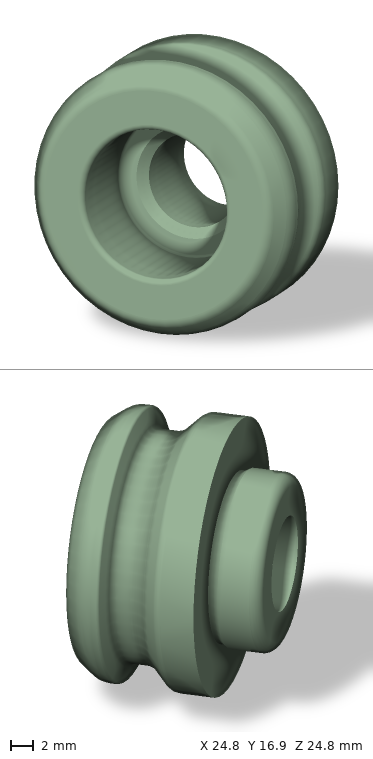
import cadquery as cq
import math

total_length = 16.9
flange_back = 12.1

flange_radius = 24.8 / 2
rim_radius = 24.6 / 2
groove_radius = 20.7 / 2
collar_radius = 16.0 / 2
neck_radius = 15.3 / 2

nose_depth = 2.03
nose_angle = 35.5
nose_fillet = 1
rim_fillet = 2.0
rim_back = 3.4
rim_edge_fillet = 0.25

wall_angle = 19
wall_fillet = 0.5
flank_angle = 45
flank_fillet = 2.0
flank_end = 8.65
flange_fillet = 1

neck_slope = 30
neck_arc_radius = 0.5
collar_start = 13.05
collar_fillet = 1

pocket_radius = 13.5 / 2
pocket_depth = 8.15
pocket_mouth_fillet = 0.5
pocket_floor_fillet = 0.22
countersink_radius = 10.17 / 2
hole_radius = 8.5 / 2
countersink_angle = 45


def add_rounded_corner(path, before, corner, after, radius):
    """Draw a line to the corner and round it with a tangent arc."""
    corner_point = cq.Vector(*corner)
    back = (cq.Vector(*before) - corner_point).normalized()
    ahead = (cq.Vector(*after) - corner_point).normalized()
    half_angle = back.getAngle(ahead) / 2
    setback = radius / math.tan(half_angle)
    crown = radius / math.sin(half_angle) - radius
    start = corner_point + back * setback
    middle = corner_point + (back + ahead).normalized() * crown
    end = corner_point + ahead * setback
    path = path.lineTo(start.x, start.y)
    return path.threePointArc((middle.x, middle.y), (end.x, end.y))


def run(rise, angle):
    """Axial length of a slope that climbs by rise at angle to the axis."""
    return rise / math.tan(math.radians(angle))


def half_section():
    """List the section corners as (radius, axial position, corner fillet)."""
    nose_radius = rim_radius - nose_depth * math.tan(math.radians(nose_angle))
    wall_foot = rim_back + (rim_radius - groove_radius) * math.tan(math.radians(wall_angle))
    flank_foot = flank_end - run(flange_radius - groove_radius, flank_angle)
    countersink_end = pocket_depth + run(countersink_radius - hole_radius, countersink_angle)
    return [
        (pocket_radius, 0, pocket_mouth_fillet),
        (nose_radius, 0, nose_fillet),
        (rim_radius, nose_depth, rim_fillet),
        (rim_radius, rim_back, rim_edge_fillet),
        (groove_radius, wall_foot, wall_fillet),
        (groove_radius, flank_foot, flank_fillet),
        (flange_radius, flank_end, flange_fillet),
        (flange_radius, flange_back, 0),
        (collar_radius, flange_back, 0),
        (collar_radius, total_length, collar_fillet),
        (hole_radius, total_length, 0),
        (hole_radius, countersink_end, 0),
        (countersink_radius, pocket_depth, 0),
        (pocket_radius, pocket_depth, pocket_floor_fillet),
    ]


def turned_body(corners):
    """Revolve the rounded half section about the Y axis."""
    points = [(radius, position) for radius, position, _ in corners]
    fillets = [fillet for _, _, fillet in corners]
    path = cq.Workplane("XY").moveTo(pocket_radius, pocket_depth / 2)
    for index, point in enumerate(points):
        if fillets[index] == 0:
            path = path.lineTo(*point)
            continue
        following = points[(index + 1) % len(points)]
        path = add_rounded_corner(path, points[index - 1], point, following, fillets[index])
    return path.close().revolve(360, (0, 0, 0), (0, 1, 0))


def neck_undercut():
    """Ring removed beside the flange: a cone down from the collar, then a tangent arc."""
    slope = math.radians(neck_slope)
    center_radius = neck_radius + neck_arc_radius
    arc_start_radius = center_radius - neck_arc_radius * math.cos(slope)
    arc_start = collar_start - run(collar_radius - arc_start_radius, neck_slope)
    arc_center = arc_start - neck_arc_radius * math.sin(slope)
    overhang = arc_center - flange_back
    arc_end_radius = center_radius - math.sqrt(neck_arc_radius**2 - overhang**2)
    return (
        cq.Workplane("XY")
        .moveTo(collar_radius, collar_start)
        .lineTo(arc_start_radius, arc_start)
        .threePointArc((neck_radius, arc_center), (arc_end_radius, flange_back))
        .lineTo(collar_radius, flange_back)
        .close()
        .revolve(360, (0, 0, 0), (0, 1, 0))
    )


result = turned_body(half_section()).cut(neck_undercut())